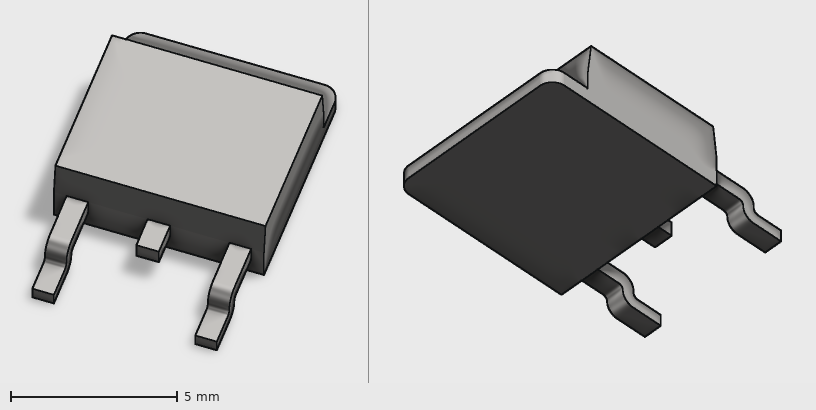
import cadquery as cq

WIDTH = 6.7
LENGTH = 9.99
HEIGHT = 2.35
TAB_END_Y = LENGTH / 2
LEAD_TIP_Y = -LENGTH / 2

TAB_THICKNESS = 0.52
TAB_CORNER_RADIUS = 0.51

LEAD_REACH = 3.1
TAB_OVERHANG = 1.5
PARTING_Z = 1.16
TAPER_INSET = 0.14
BODY_FRONT_Y = LEAD_TIP_Y + LEAD_REACH
BODY_BACK_Y = TAB_END_Y - TAB_OVERHANG

LEAD_THICKNESS = 0.55
LEAD_TOP_Z = PARTING_Z
LEAD_BOTTOM_Z = LEAD_TOP_Z - LEAD_THICKNESS
LEAD_WIDTH = 0.69
LEAD_EDGE_GAP = 0.41
LEAD_OFFSET_X = WIDTH / 2 - LEAD_EDGE_GAP - LEAD_WIDTH / 2
FOOT_THICKNESS = 0.45
RISER_FRONT_LENGTH = 1.14
RISER_FRONT_Y = LEAD_TIP_Y + RISER_FRONT_LENGTH
RISER_BACK_Y = RISER_FRONT_Y + FOOT_THICKNESS
SHOULDER_RADIUS = 0.46
HEEL_RADIUS = 0.42
INNER_BEND_RADIUS = 0.17

STUB_WIDTH = 0.72
STUB_LENGTH = 1.02


def extrude_across(outline, width, center_x=0):
    """Extrude a closed YZ outline symmetrically about the plane x = center_x."""
    return outline.extrude(width / 2, both=True).translate((center_x, 0, 0))


def make_tab():
    length = TAB_END_Y - BODY_FRONT_Y
    tab = cq.Workplane("XY").box(WIDTH, length, TAB_THICKNESS, centered=(True, False, False))
    tab = tab.translate((0, BODY_FRONT_Y, 0))
    return tab.edges("|Z and >Y").fillet(TAB_CORNER_RADIUS)


def make_body():
    outline = (
        cq.Workplane("YZ")
        .moveTo(BODY_FRONT_Y, 0)
        .lineTo(BODY_FRONT_Y, PARTING_Z)
        .lineTo(BODY_FRONT_Y + TAPER_INSET, HEIGHT)
        .lineTo(BODY_BACK_Y - TAPER_INSET, HEIGHT)
        .lineTo(BODY_BACK_Y, PARTING_Z)
        .lineTo(BODY_BACK_Y, 0)
        .close()
    )
    return extrude_across(outline, WIDTH)


def make_bent_lead(center_x):
    """S-bent lead: shoulder out of the body, riser down, flat foot."""
    shoulder = SHOULDER_RADIUS
    heel = HEEL_RADIUS
    inner = INNER_BEND_RADIUS
    outline = (
        cq.Workplane("YZ")
        .moveTo(BODY_FRONT_Y, LEAD_TOP_Z)
        .lineTo(RISER_FRONT_Y + shoulder, LEAD_TOP_Z)
        .radiusArc((RISER_FRONT_Y, LEAD_TOP_Z - shoulder), -shoulder)
        .lineTo(RISER_FRONT_Y, FOOT_THICKNESS + inner)
        .radiusArc((RISER_FRONT_Y - inner, FOOT_THICKNESS), inner)
        .lineTo(LEAD_TIP_Y, FOOT_THICKNESS)
        .lineTo(LEAD_TIP_Y, 0)
        .lineTo(RISER_BACK_Y - heel, 0)
        .radiusArc((RISER_BACK_Y, heel), -heel)
        .lineTo(RISER_BACK_Y, LEAD_BOTTOM_Z - inner)
        .radiusArc((RISER_BACK_Y + inner, LEAD_BOTTOM_Z), inner)
        .lineTo(BODY_FRONT_Y, LEAD_BOTTOM_Z)
        .close()
    )
    return extrude_across(outline, LEAD_WIDTH, center_x)


def make_stub_lead():
    stub = cq.Workplane("XY").box(STUB_WIDTH, STUB_LENGTH, LEAD_THICKNESS, centered=(True, False, False))
    return stub.translate((0, BODY_FRONT_Y - STUB_LENGTH, LEAD_BOTTOM_Z))


result = make_body().union(make_tab()).union(make_stub_lead())
for side in (-1, 1):
    result = result.union(make_bent_lead(side * LEAD_OFFSET_X))